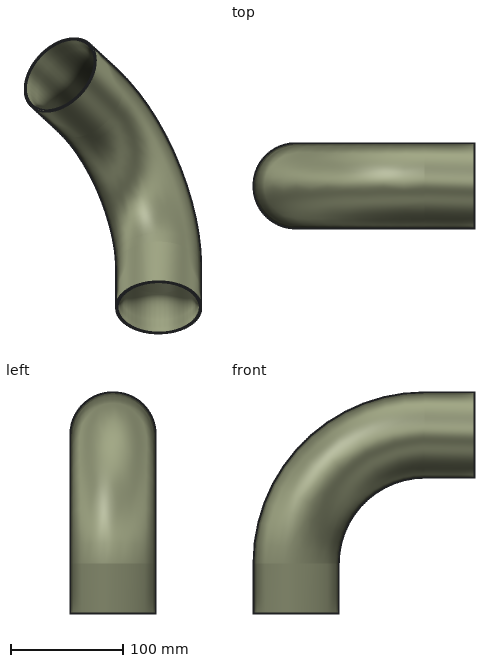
import cadquery as cq

overall_size = 196.9
outer_diameter = 76.2
bore_diameter = 72.9
bend_ratio = 1.5

bend_radius = bend_ratio * outer_diameter
straight_length = overall_size - bend_radius - outer_diameter / 2


def elbow_rod(diameter):
    """Solid round rod: vertical leg, quarter bend, then a leg along +X."""
    vertical_leg = cq.Workplane("XY").circle(diameter / 2).extrude(straight_length)

    bend = (
        cq.Workplane("XY")
        .workplane(offset=straight_length)
        .circle(diameter / 2)
        .revolve(90, (bend_radius, 0, 0), (bend_radius, 1, 0))
    )

    horizontal_leg = (
        cq.Workplane("YZ")
        .workplane(offset=bend_radius)
        .center(0, straight_length + bend_radius)
        .circle(diameter / 2)
        .extrude(straight_length)
    )
    return vertical_leg.union(bend).union(horizontal_leg)


result = elbow_rod(outer_diameter).cut(elbow_rod(bore_diameter))